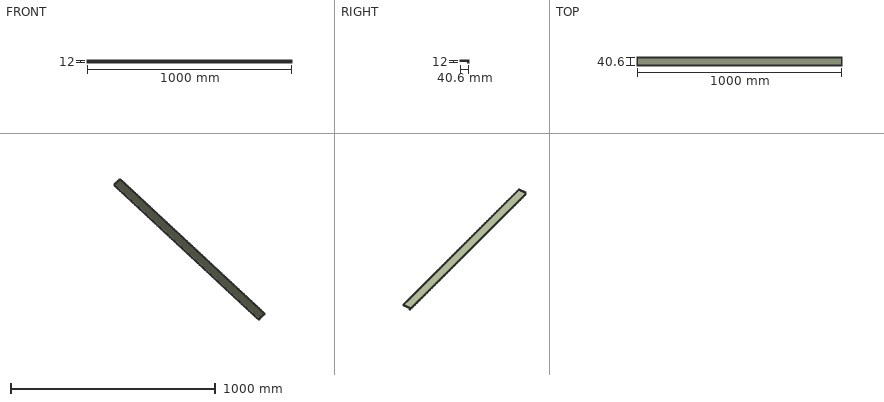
import cadquery as cq

LENGTH = 1000.0
WIDTH = 40.65
HEIGHT = 11.99

PLATE_THICKNESS = 4.3
LEG_THICKNESS = 4.0
NOSE_RADIUS = 1.52
EDGE_RADIUS = 0.36
INNER_RADIUS = 0.65

FRONT = -WIDTH / 2
BACK = WIDTH / 2
TOP = HEIGHT / 2
BOTTOM = -HEIGHT / 2
PLATE_UNDERSIDE = TOP - PLATE_THICKNESS
LEG_INNER_FACE = BACK - LEG_THICKNESS

SELECTION_MARGIN = 0.05


def make_strip():
    """Sharp-edged L section running along X."""
    outline = [
        (FRONT, TOP),
        (BACK, TOP),
        (BACK, BOTTOM),
        (LEG_INNER_FACE, BOTTOM),
        (LEG_INNER_FACE, PLATE_UNDERSIDE),
        (FRONT, PLATE_UNDERSIDE),
    ]
    section = cq.Workplane("YZ").polyline(outline).close()
    return section.extrude(LENGTH / 2, both=True)


def round_long_edge(strip, y, z, radius):
    """Fillet the lengthwise edge that passes through (y, z)."""
    reach = LENGTH / 2 + SELECTION_MARGIN
    lower = (-reach, y - SELECTION_MARGIN, z - SELECTION_MARGIN)
    upper = (reach, y + SELECTION_MARGIN, z + SELECTION_MARGIN)
    return strip.edges("|X").edges(cq.selectors.BoxSelector(lower, upper)).fillet(radius)


rounded_corners = [
    (FRONT, TOP, NOSE_RADIUS),
    (FRONT, PLATE_UNDERSIDE, EDGE_RADIUS),
    (BACK, TOP, EDGE_RADIUS),
    (BACK, BOTTOM, EDGE_RADIUS),
    (LEG_INNER_FACE, BOTTOM, EDGE_RADIUS),
    (LEG_INNER_FACE, PLATE_UNDERSIDE, INNER_RADIUS),
]

result = make_strip()
for corner_y, corner_z, corner_radius in rounded_corners:
    result = round_long_edge(result, corner_y, corner_z, corner_radius)